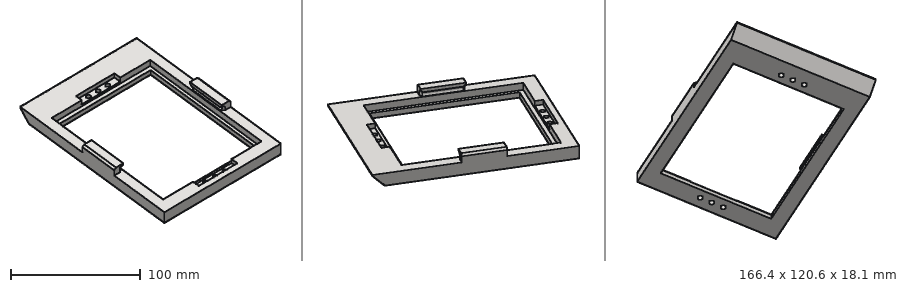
import cadquery as cq

length = 166.4
width = 120.6
frame_height = 11.0
total_height = 18.1
nose_land = 1.0
nose_run = frame_height - nose_land

pocket_start = 26.1
pocket_length = 128.3
pocket_width = 101.8
pocket_depth = 6.2
end_ledge = 3.8
side_ledge = 3.0

recess_reach = 6.7
recess_width = 39.8
recess_depth = 4.2
hole_diameter = 4.0
hole_pitch = 10.0
hole_count = 3

clip_length = 36.6
clip_chamfer = 1.8
groove_radius = 2.0
groove_axis_height = 1.8
groove_flare = 1.8

pocket_end = pocket_start + pocket_length
center_x = (pocket_start + pocket_end) / 2
center_y = width / 2
rail_width = (width - pocket_width) / 2
pocket_floor = frame_height - pocket_depth
recess_floor = frame_height - recess_depth
clip_start = center_x - clip_length / 2


def block(x_size, y_size, z_bottom, z_top, x_center):
    """Box centered across the frame width."""
    box = cq.Workplane("XY").box(x_size, y_size, z_top - z_bottom, centered=(True, True, False))
    return box.translate((x_center, center_y, z_bottom))


def frame_body():
    """Frame with beveled nose and stepped opening."""
    side_outline = [
        (nose_run, 0),
        (length, 0),
        (length, frame_height),
        (0, frame_height),
        (0, frame_height - nose_land),
    ]
    body = cq.Workplane("XZ").polyline(side_outline).close().extrude(-width)
    pocket = block(pocket_length, pocket_width, pocket_floor, frame_height, center_x)
    window = block(
        pocket_length - 2 * end_ledge, pocket_width - 2 * side_ledge, 0, frame_height, center_x
    )
    return body.cut(pocket).cut(window)


def screw_recess(x_center):
    """Cutter for one recess and its row of through holes."""
    recess = block(recess_reach, recess_width, recess_floor, frame_height, x_center)
    holes = (
        cq.Workplane("XY")
        .center(x_center, center_y)
        .rarray(1.7, hole_pitch, 1, hole_count)
        .circle(hole_diameter / 2)
        .extrude(frame_height)
    )
    return recess.union(holes)


def groove_cutter():
    """Round bar with conical ends, lying along the lip of the -Y rail."""
    flared_radius = groove_radius + groove_flare
    half_section = [
        (0, 0),
        (0, flared_radius),
        (groove_flare, groove_radius),
        (clip_length - groove_flare, groove_radius),
        (clip_length, flared_radius),
        (clip_length, 0),
    ]
    bar = cq.Workplane("XY").polyline(half_section).close().revolve(360, (0, 0), (1, 0))
    return bar.translate((clip_start, rail_width, frame_height + groove_axis_height))


def clip():
    """Hooked clip on the -Y rail with its groove cut out."""
    outline = [
        (0, frame_height),
        (rail_width, frame_height),
        (rail_width, total_height),
        (clip_chamfer, total_height),
        (0, total_height - clip_chamfer),
    ]
    solid = cq.Workplane("YZ").polyline(outline).close().extrude(clip_length)
    return solid.translate((clip_start, 0, 0)).cut(groove_cutter())


result = frame_body()
for recess_x in (pocket_start - recess_reach / 2, pocket_end + recess_reach / 2):
    result = result.cut(screw_recess(recess_x))

near_clip = clip()
far_clip = near_clip.mirror("XZ", (0, center_y, 0))
result = result.union(near_clip).union(far_clip)